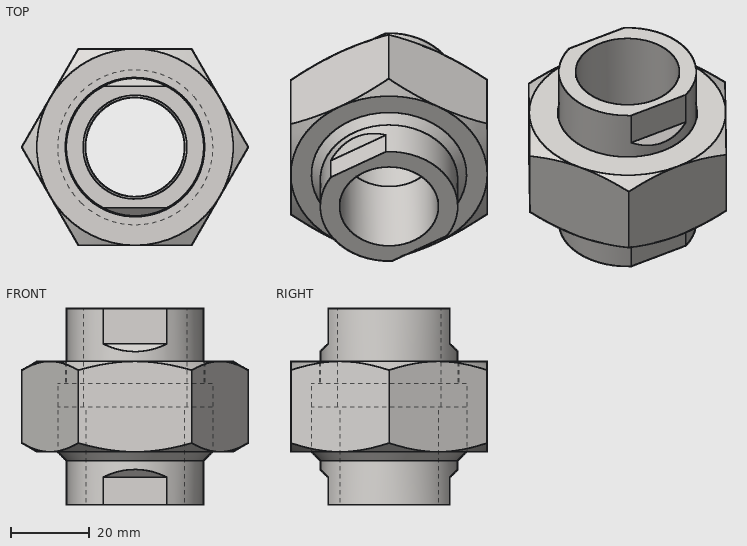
import cadquery as cq
import math

TOTAL_HEIGHT = 50.0
TOP = TOTAL_HEIGHT / 2
BOTTOM = -TOTAL_HEIGHT / 2
SEAT = 0.0

HEXAGON_SIDES = 6
NUT_ACROSS_FLATS = 50.0
NUT_HEIGHT = 23.0
NUT_LIP_THICKNESS = 5.5
NUT_CHAMFER_ANGLE = 30.0
NUT_TOP = NUT_HEIGHT / 2
NUT_BOTTOM = -NUT_HEIGHT / 2
LIP_BOTTOM = NUT_TOP - NUT_LIP_THICKNESS

PIPE_RADIUS = 35.0 / 2
LIP_CLEARANCE = 0.25
LIP_HOLE_RADIUS = PIPE_RADIUS + LIP_CLEARANCE
TAILPIECE_BORE_RADIUS = 26.44 / 2
BASE_BORE_RADIUS = 25.2 / 2

FLARE_HEIGHT = 2.25
FLARE_BOTTOM = NUT_BOTTOM - FLARE_HEIGHT
NUT_BORE_RADIUS = PIPE_RADIUS + FLARE_HEIGHT

WRENCH_ACROSS_FLATS = 31.0
TAILPIECE_FLAT_LENGTH = 9.0
BASE_FLAT_LENGTH = 7.0


def revolve_profile(points):
    """Turn a closed outline of (radius, height) points about the Z axis."""
    return cq.Workplane("XZ").polyline(points).close().revolve(360, (0, 0), (0, 1))


def cut_wrench_flats(body, end_height, inward, flat_length):
    """Cut two opposite flats from a pipe end, each running out through a 45 degree ramp.

    inward is +1 or -1, the direction along Z from the end face into the pipe.
    """
    flat = WRENCH_ACROSS_FLATS / 2
    flat_end = end_height + inward * flat_length
    ramp_end = flat_end + inward * (PIPE_RADIUS - flat)
    for side in (1, -1):
        cutter = (
            cq.Workplane("YZ")
            .moveTo(side * flat, end_height)
            .lineTo(side * flat, flat_end)
            .lineTo(side * PIPE_RADIUS, ramp_end)
            .lineTo(side * PIPE_RADIUS, end_height)
            .close()
            .extrude(PIPE_RADIUS, both=True)
        )
        body = body.cut(cutter)
    return body


def make_nut():
    """Hexagon nut with corners on the X axis, chamfered at both ends and lipped at the top."""
    inner_radius = NUT_ACROSS_FLATS / 2
    corner_radius = inner_radius / math.cos(math.pi / HEXAGON_SIDES)
    hexagon = (
        cq.Workplane("XY", origin=(0, 0, NUT_BOTTOM))
        .polygon(HEXAGON_SIDES, 2 * corner_radius)
        .extrude(NUT_HEIGHT)
    )
    overrun = 1.0
    outer_radius = corner_radius + overrun
    outer_drop = (outer_radius - inner_radius) * math.tan(math.radians(NUT_CHAMFER_ANGLE))
    envelope = revolve_profile([
        (0, NUT_BOTTOM),
        (inner_radius, NUT_BOTTOM),
        (outer_radius, NUT_BOTTOM + outer_drop),
        (outer_radius, NUT_TOP - outer_drop),
        (inner_radius, NUT_TOP),
        (0, NUT_TOP),
    ])
    opening = revolve_profile([
        (0, NUT_BOTTOM),
        (NUT_BORE_RADIUS, NUT_BOTTOM),
        (NUT_BORE_RADIUS, LIP_BOTTOM),
        (LIP_HOLE_RADIUS, LIP_BOTTOM),
        (LIP_HOLE_RADIUS, NUT_TOP),
        (0, NUT_TOP),
    ])
    return hexagon.intersect(envelope).cut(opening)


def make_tailpiece():
    """Upper pipe end with a collar held under the lip of the nut."""
    body = revolve_profile([
        (TAILPIECE_BORE_RADIUS, SEAT),
        (NUT_BORE_RADIUS, SEAT),
        (NUT_BORE_RADIUS, LIP_BOTTOM),
        (PIPE_RADIUS, LIP_BOTTOM),
        (PIPE_RADIUS, TOP),
        (TAILPIECE_BORE_RADIUS, TOP),
    ])
    return cut_wrench_flats(body, TOP, -1, TAILPIECE_FLAT_LENGTH)


def make_base():
    """Lower pipe end that flares out into the bore of the nut."""
    body = revolve_profile([
        (BASE_BORE_RADIUS, BOTTOM),
        (PIPE_RADIUS, BOTTOM),
        (PIPE_RADIUS, FLARE_BOTTOM),
        (NUT_BORE_RADIUS, NUT_BOTTOM),
        (NUT_BORE_RADIUS, SEAT),
        (BASE_BORE_RADIUS, SEAT),
    ])
    return cut_wrench_flats(body, BOTTOM, 1, BASE_FLAT_LENGTH)


nut = make_nut()
tailpiece = make_tailpiece()
base = make_base()

result = cq.Compound.makeCompound([nut.val(), tailpiece.val(), base.val()])